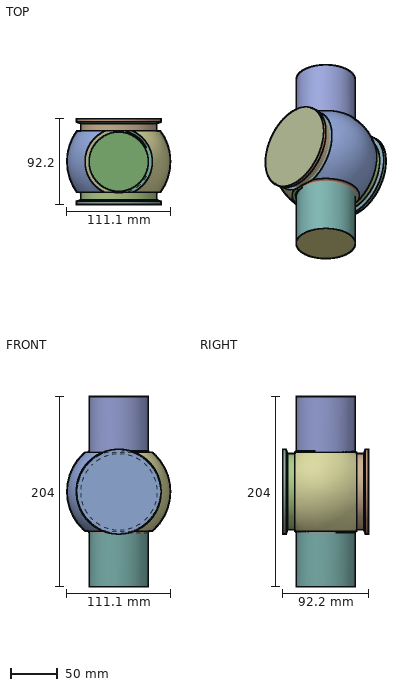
import cadquery as cq

BODY_DIAMETER = 111.1
BODY_FLAT_Y = 33.0
BODY_FLAT_Z = 42.25

PIPE_DIAMETER = 63.5
PIPE_LENGTH = 203.96
PIPE_FILLET = 1.5

PORT_DIAMETER = 81.89
PORT_LENGTH = 92.2
PORT_FILLET = 0.5
FLANGE_DIAMETER = 90.91
FLANGE_RIM = 3.6
FLANGE_TAPER = 1.65


def make_body():
    """Sphere with its poles on X, a pair of flats across Y and a pair across Z."""
    sphere = cq.Workplane("YZ").sphere(BODY_DIAMETER / 2)
    flats = cq.Workplane("XY").box(BODY_DIAMETER, 2 * BODY_FLAT_Y, 2 * BODY_FLAT_Z)
    return sphere.intersect(flats)


def revolve_about_vertical(profile):
    """Close a half profile and turn it about the vertical axis of its own plane."""
    return profile.close().revolve(360, (0, 0, 0), (0, 1, 0))


def make_pipe():
    """Upper pipe stub, with a concave fillet where it leaves the body."""
    radius = PIPE_DIAMETER / 2
    end = PIPE_LENGTH / 2
    profile = (
        cq.Workplane("XZ")
        .lineTo(radius, 0)
        .lineTo(radius, BODY_FLAT_Z)
        .lineTo(radius + PIPE_FILLET, BODY_FLAT_Z)
        .radiusArc((radius, BODY_FLAT_Z + PIPE_FILLET), PIPE_FILLET)
        .lineTo(radius, end)
        .lineTo(0, end)
    )
    return revolve_about_vertical(profile)


def make_port():
    """Port on the +Y side: filleted neck and a clamp flange with a sloped back."""
    radius = PORT_DIAMETER / 2
    flange_radius = FLANGE_DIAMETER / 2
    face = PORT_LENGTH / 2
    rim_back = face - FLANGE_RIM
    profile = (
        cq.Workplane("XY")
        .moveTo(0, BODY_FLAT_Y)
        .lineTo(radius + PORT_FILLET, BODY_FLAT_Y)
        .radiusArc((radius, BODY_FLAT_Y + PORT_FILLET), PORT_FILLET)
        .lineTo(radius, rim_back - FLANGE_TAPER)
        .lineTo(flange_radius, rim_back)
        .lineTo(flange_radius, face)
        .lineTo(0, face)
    )
    return revolve_about_vertical(profile)


pipe = make_pipe()
port = make_port()
result = make_body()
for feature in (pipe, pipe.mirror("XY"), port, port.mirror("XZ")):
    result = result.union(feature)